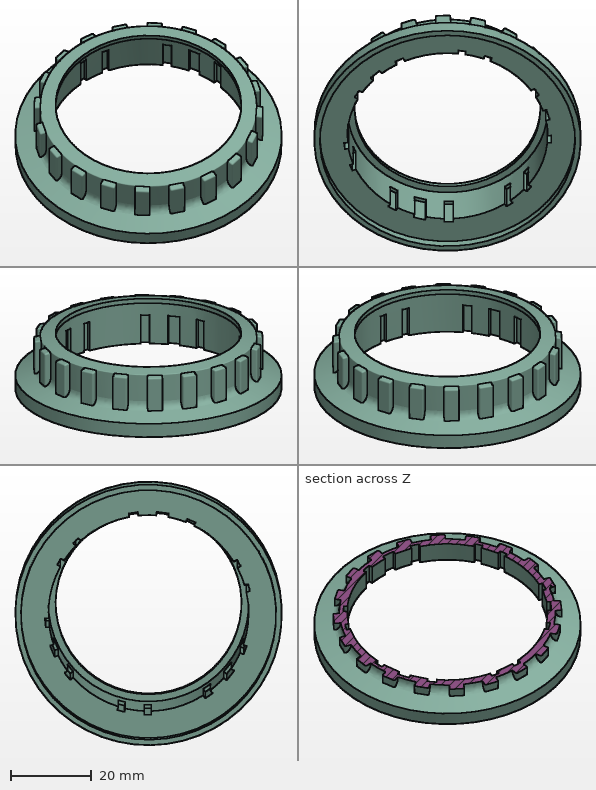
import cadquery as cq

flange_diameter = 66.0
flange_height = 3.6
recess_diameter = 63.2
recess_depth = 2.1

collar_diameter = 53.6
collar_foot_height = 5.66
collar_foot_radius = 2.1
collar_edge_height = 14.2
collar_edge_radius = 0.25
total_height = 14.82
bore_diameter = 49.6
lip_diameter = 46.0
lip_thickness = 1.2

rib_count = 20
rib_first_angle = 6.0
rib_width = 3.7
rib_outer_reach = 28.3
rib_top_height = 14.05
rib_edge_radius = 0.4

groove_top_height = 9.7
groove_group_count = 3
groove_depth = 0.9
groove_group = ((1.8, 22.5), (1.8, 37.5), (2.2, 73.5), (3.0, 90.0), (2.2, 106.5))


def turn_about_axis(shape, angle):
    """Rotate a shape about the Z axis by an angle in degrees."""
    return shape.rotate((0, 0, 0), (0, 0, 1), angle)


def collar_edge_at(height):
    """Selector for the collar's outer circular edge at a given height."""
    margin = 0.1
    reach = collar_diameter / 2 + margin
    return cq.selectors.BoxSelector(
        (-reach, -reach, height - margin), (reach, reach, height + margin), boundingbox=True
    )


def make_body():
    """Revolve the flange and collar section, then round the collar's foot and top edge."""
    lip_bottom = total_height - lip_thickness
    body = (
        cq.Workplane("XZ")
        .moveTo(recess_diameter / 2, 0)
        .lineTo(flange_diameter / 2, 0)
        .lineTo(flange_diameter / 2, flange_height)
        .lineTo(collar_diameter / 2, collar_foot_height)
        .lineTo(collar_diameter / 2, collar_edge_height)
        .lineTo(lip_diameter / 2, total_height)
        .lineTo(lip_diameter / 2, lip_bottom)
        .lineTo(bore_diameter / 2, lip_bottom)
        .lineTo(bore_diameter / 2, recess_depth)
        .lineTo(recess_diameter / 2, recess_depth)
        .close()
        .revolve(360, (0, 0, 0), (0, 1, 0))
    )
    body = body.edges(collar_edge_at(collar_foot_height)).fillet(collar_foot_radius)
    return body.edges(collar_edge_at(collar_edge_height)).fillet(collar_edge_radius)


def make_rib():
    """One grip rib on the +X side: its top slopes like the collar's, its outer edges are rounded."""
    collar_radius = collar_diameter / 2
    root = (bore_diameter / 2 + collar_radius) / 2
    top_slope = (total_height - collar_edge_height) / (collar_radius - lip_diameter / 2)
    rib = (
        cq.Workplane("XZ")
        .moveTo(root, flange_height)
        .lineTo(rib_outer_reach, flange_height)
        .lineTo(rib_outer_reach, rib_top_height - top_slope * (rib_outer_reach - collar_radius))
        .lineTo(root, rib_top_height - top_slope * (root - collar_radius))
        .close()
        .extrude(rib_width / 2, both=True)
    )
    outer_upright_edges = rib.edges(">X and |Z")
    top_edges = rib.faces(">Z").edges("not <X")
    return outer_upright_edges.add(top_edges).fillet(rib_edge_radius)


def make_groove(width):
    """Cutter for one flat-bottomed groove on the +X side of the bore."""
    root = lip_diameter / 2
    length = bore_diameter / 2 + groove_depth - root
    return (
        cq.Workplane("XY", origin=(root, 0, 0))
        .box(length, width, groove_top_height, centered=(False, True, False))
    )


def add_ribs(body):
    """Join the evenly spaced grip ribs to the collar."""
    rib = make_rib()
    pitch = 360 / rib_count
    ribs = cq.Workplane("XY")
    for index in range(rib_count):
        ribs = ribs.add(turn_about_axis(rib, rib_first_angle + index * pitch))
    return body.union(ribs.combine())


def cut_grooves(body):
    """Cut every groove of every group into the bore."""
    group_pitch = 360 / groove_group_count
    for group in range(groove_group_count):
        for width, angle in groove_group:
            body = body.cut(turn_about_axis(make_groove(width), angle + group * group_pitch))
    return body


result = add_ribs(cut_grooves(make_body()))